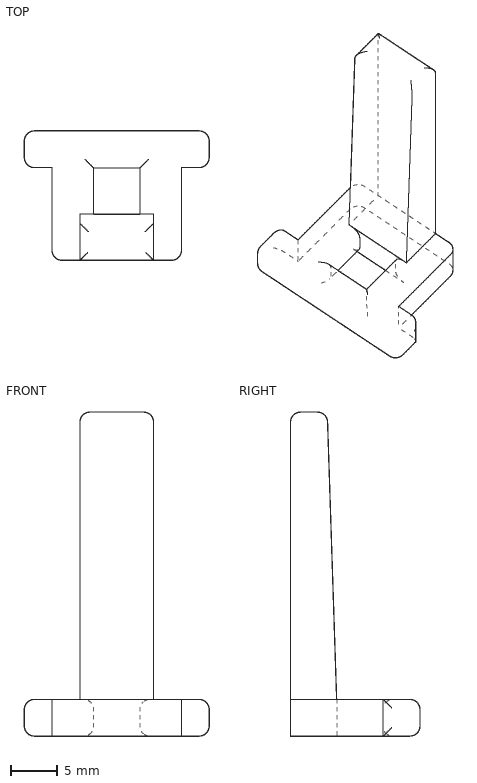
import cadquery as cq

total_height = 35.0
base_depth = 14.0
flange_width = 20.0
stem_width = 14.0
base_thickness = 4.0
flange_depth = base_thickness
edge_radius = 1.12

post_width = 7.98
post_bottom_depth = 5.0
post_top_depth = 4.0

window_size = 4.97

flange_front = base_depth - flange_depth


def make_flange():
    """Cross bar at the back, rounded around its back face and both end faces."""
    bar = cq.Workplane("XY").box(flange_width, flange_depth, base_thickness, centered=(True, False, False))
    bar = bar.translate((0, flange_front, 0))
    return bar.faces(">Y or <X or >X").edges().fillet(edge_radius)


def make_stem():
    """Plate that carries the post, with rounded front corners."""
    stem_depth = base_depth - edge_radius
    stem = cq.Workplane("XY").box(stem_width, stem_depth, base_thickness, centered=(True, False, False))
    return stem.edges("|Z and <Y").fillet(edge_radius)


def cut_window(body):
    """Cut the through window and round its top and bottom rims on the three sides clear of the post."""
    window_back = post_bottom_depth + window_size
    window = cq.Workplane("XY").box(window_size, window_size, base_thickness, centered=(True, False, False))
    body = body.cut(window.translate((0, post_bottom_depth, 0)))

    margin = edge_radius / 2
    rims = cq.selectors.BoxSelector(
        (-window_size / 2 - margin, post_bottom_depth + margin, -margin),
        (window_size / 2 + margin, window_back + margin, base_thickness + margin),
    )
    horizontal_edges = body.edges(rims).edges("#Z")
    return horizontal_edges.fillet(edge_radius)


def make_base():
    return cut_window(make_flange().union(make_stem()))


def make_post():
    """Upright post with a sloping back and a rounded top."""
    profile = [
        (0, base_thickness),
        (post_bottom_depth, base_thickness),
        (post_top_depth, total_height),
        (0, total_height),
    ]
    post = cq.Workplane("YZ").polyline(profile).close().extrude(post_width / 2, both=True)
    return post.faces(">Z").edges().fillet(edge_radius)


base = make_base()
post = make_post()

result = cq.Compound.makeCompound([base.solids().val(), post.solids().val()])